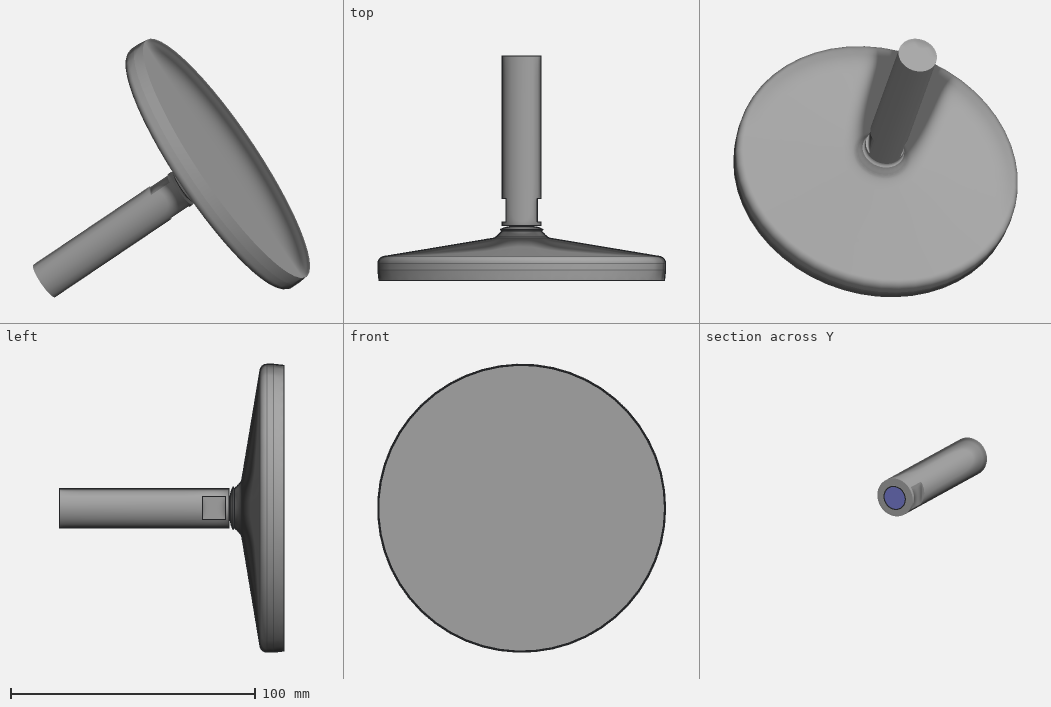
import cadquery as cq
import math

plate_radius = 59.0
sole_radius = 58.5
taper_height = 4.2
side_height = 7.0
rim_round = 3.0
hub_radius = 11.6
hub_height = 17.3

blend_rise = 0.7
groove_radius = 8.0
groove_height = 20.3
lip_radius = 8.7
lip_height = 20.9
dome_mid_radius = 7.2
dome_mid_height = 21.6
neck_radius = 5.0
hub_top = 22.1

stem_radius = 16.0 / 2
stem_bottom = 22.5
overall_height = 92.0

flat_bottom = 24.1
flat_top = 33.5
across_flats = 13.0


def tangent_angle_on_rim():
    """Angle of the rim-round end point where the shallow cone is tangent to the round."""
    run = hub_radius - (plate_radius - rim_round)
    rise = hub_height - side_height
    return math.atan2(rise, run) - math.acos(rim_round / math.hypot(run, rise))


def rim_point(angle):
    return (
        plate_radius - rim_round + rim_round * math.cos(angle),
        side_height + rim_round * math.sin(angle),
    )


def make_foot():
    cone_angle = tangent_angle_on_rim()
    blend_top_height = hub_height + blend_rise
    blend_top_radius = groove_radius + groove_height - blend_top_height
    cone_direction = (-math.sin(cone_angle), math.cos(cone_angle))
    profile = (
        cq.Workplane("XY")
        .lineTo(sole_radius, 0)
        .lineTo(plate_radius, taper_height)
        .lineTo(plate_radius, side_height)
        .threePointArc(rim_point(cone_angle / 2), rim_point(cone_angle))
        .lineTo(hub_radius, hub_height)
        .spline(
            [(blend_top_radius, blend_top_height)],
            tangents=[cone_direction, (-1, 1)],
            includeCurrent=True,
        )
        .lineTo(groove_radius, groove_height)
        .lineTo(lip_radius, lip_height)
        .threePointArc((dome_mid_radius, dome_mid_height), (neck_radius, hub_top))
        .lineTo(0, hub_top)
        .close()
    )
    return profile.revolve(360, (0, 0, 0), (0, 1, 0))


def make_wrench_flat_cutter(side):
    """Block that removes the stem beyond one flat, on the +X (1) or -X (-1) side."""
    length = flat_top - flat_bottom
    depth = stem_radius
    return cq.Workplane("XY").box(depth, length, 2 * stem_radius).translate(
        (side * (across_flats + depth) / 2, (flat_bottom + flat_top) / 2, 0)
    )


def make_stem():
    """Cylinder with a short neck that rests on the hub top."""
    profile = (
        cq.Workplane("XY")
        .moveTo(0, hub_top)
        .lineTo(neck_radius, hub_top)
        .lineTo(neck_radius, stem_bottom)
        .lineTo(stem_radius, stem_bottom)
        .lineTo(stem_radius, overall_height)
        .lineTo(0, overall_height)
        .close()
    )
    stem = profile.revolve(360, (0, 0, 0), (0, 1, 0))
    for side in (-1, 1):
        stem = stem.cut(make_wrench_flat_cutter(side))
    return stem


foot = make_foot()
stem = make_stem()

result = cq.Compound.makeCompound([foot.val(), stem.val()])